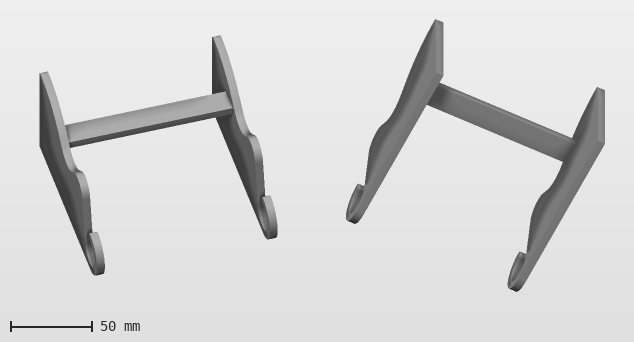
import cadquery as cq

panel_thickness = 5.0
overall_width = 115.0
panel_gap = overall_width - 2 * panel_thickness

hook_thickness = 5.0
hook_outer_radius = 15.0
hook_inner_radius = hook_outer_radius - hook_thickness
hook_center_x = 110.0
hook_center_z = hook_outer_radius
hook_tip_radius = hook_thickness / 2
hook_tip_z = hook_center_z + hook_inner_radius + hook_tip_radius

back_top = (0.0, 65.0)
shoulder = (26.9, 63.4)
valley = (59.7, 37.2)
crest_back = (79.05, 52.55)
crest_front = (91.5, 52.55)
foot = (100.8, hook_thickness)

rounded_corners = [
    (back_top, 3.0),
    (shoulder, 64.5),
    (valley, 16.8),
    (crest_back, 10.3),
    (crest_front, 10.3),
    (foot, 7.5),
]

bar_width = 15.0
bar_height = 5.0
bar_x = 30.0
bar_z = 40.0


def make_panel_plate():
    """Plate with a wavy top edge, lying between y = 0 and y = panel_thickness."""
    outline = [
        (0, 0),
        *(corner for corner, radius in rounded_corners),
        (hook_center_x, hook_thickness),
        (hook_center_x, 0),
    ]
    plate = cq.Workplane("XZ").polyline(outline).close().extrude(-panel_thickness)
    for (x, z), radius in rounded_corners:
        edge = cq.selectors.NearestToPointSelector((x, panel_thickness / 2, z))
        plate = plate.edges(edge).fillet(radius)
    return plate


def make_hook():
    """Half ring that curls up from the plate floor and ends in a round tip."""
    hook_top = hook_center_z + hook_outer_radius
    return (
        cq.Workplane("XZ")
        .moveTo(hook_center_x, 0)
        .threePointArc((hook_center_x + hook_outer_radius, hook_center_z), (hook_center_x, hook_top))
        .threePointArc(
            (hook_center_x - hook_tip_radius, hook_tip_z),
            (hook_center_x, hook_top - hook_thickness),
        )
        .threePointArc(
            (hook_center_x + hook_inner_radius, hook_center_z),
            (hook_center_x, hook_thickness),
        )
        .close()
        .extrude(-panel_thickness)
    )


def make_panel(y):
    """Complete side panel with its -Y face at the given y."""
    return make_panel_plate().union(make_hook()).translate((0, y, 0))


def make_crossbar():
    """Rectangular bar that spans the gap between the panels."""
    bar = cq.Workplane("XY").box(bar_width, panel_gap, bar_height, centered=False)
    return bar.translate((bar_x, panel_thickness, bar_z))


panel_with_bar = make_panel(0).union(make_crossbar())
plain_panel = make_panel(overall_width - panel_thickness)

result = cq.Compound.makeCompound([panel_with_bar.val(), plain_panel.val()])